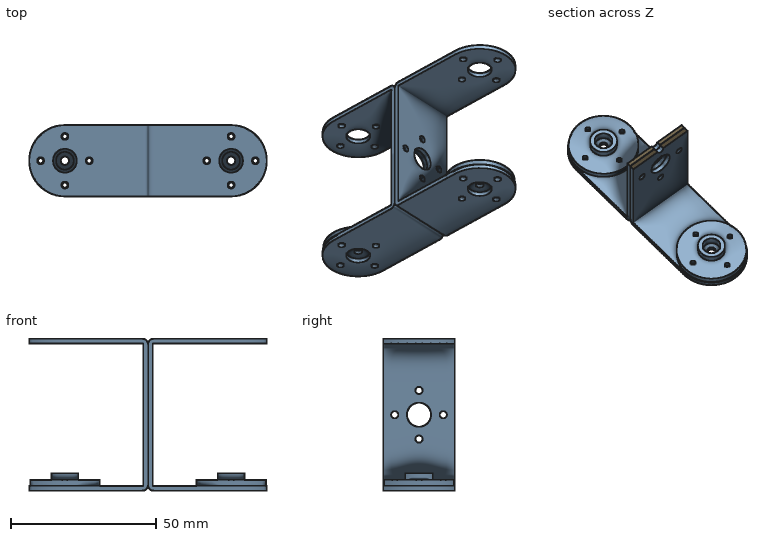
import cadquery as cq

total_length = 81.74
width = 24.61
height = 52.25

sheet = 1.65
inner_bend_radius = 0.2
outer_bend_radius = inner_bend_radius + sheet
arm_length = total_length / 2
end_radius = width / 2
hub_x = arm_length - end_radius

center_hole_diameter = 8.2
screw_hole_diameter = 2.4
screw_circle_radius = 8.35
screw_count = 4

disc_diameter = 24.0
disc_thickness = 2.05
boss_diameter = 9.3
boss_height = 2.4
bore_diameter = 6.1
bore_depth = 3.0
horn_center_hole_diameter = 2.8
horn_screw_hole_diameter = 1.75


def hole_pattern(plane, center_diameter, screw_diameter, depth):
    """Center hole and ring of screw holes, running from the plane along its normal."""
    center_hole = cq.Workplane(plane).circle(center_diameter / 2).extrude(depth)
    screw_holes = (
        cq.Workplane(plane)
        .polarArray(screw_circle_radius, 0, 360, screw_count)
        .circle(screw_diameter / 2)
        .extrude(depth)
    )
    return center_hole.union(screw_holes)


def make_bracket(side):
    """Bent U of sheet with its web on the joint plane; side is +1 for +X, -1 for -X."""
    outer = (
        cq.Workplane("XY")
        .box(arm_length, width, height, centered=(False, True, False))
        .edges("|Y and <X")
        .fillet(outer_bend_radius)
    )
    inner = (
        cq.Workplane("XY")
        .box(arm_length, width, height - 2 * sheet, centered=(False, True, False))
        .edges("|Y and <X")
        .fillet(inner_bend_radius)
        .translate((sheet, 0, sheet))
    )
    bracket = outer.cut(inner)

    straight_part = cq.Workplane("XY").box(hub_x, width, height, centered=(False, True, False))
    round_part = cq.Workplane("XY").center(hub_x, 0).circle(end_radius).extrude(height)
    bracket = bracket.intersect(straight_part.union(round_part))

    arm_plane = cq.Plane(origin=(hub_x, 0, 0))
    web_plane = cq.Plane(origin=(0, 0, height / 2), xDir=(0, 1, 0), normal=(1, 0, 0))
    bracket = bracket.cut(hole_pattern(arm_plane, center_hole_diameter, screw_hole_diameter, height))
    bracket = bracket.cut(hole_pattern(web_plane, center_hole_diameter, screw_hole_diameter, sheet))

    return bracket if side > 0 else bracket.mirror("YZ")


def make_horn(side):
    """Round servo horn with a bored boss, resting on the lower arm of a bracket."""
    horn_height = disc_thickness + boss_height
    disc = cq.Workplane("XY").circle(disc_diameter / 2).extrude(disc_thickness)
    boss = cq.Workplane("XY").circle(boss_diameter / 2).extrude(horn_height)
    bore = (
        cq.Workplane("XY", origin=(0, 0, horn_height - bore_depth))
        .circle(bore_diameter / 2)
        .extrude(bore_depth)
    )
    holes = hole_pattern(cq.Plane.XY(), horn_center_hole_diameter, horn_screw_hole_diameter, horn_height)
    horn = disc.union(boss).cut(bore).cut(holes)
    return horn.translate((side * hub_x, 0, sheet))


bodies = []
for side in (-1, 1):
    bodies.append(make_bracket(side).solids().val())
    bodies.append(make_horn(side).solids().val())

result = cq.Compound.makeCompound(bodies)